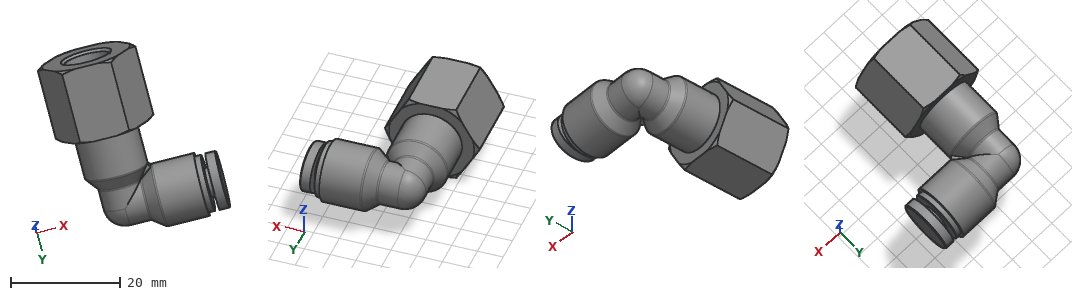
import cadquery as cq
import math


overall_length = 34.45
overall_width = 27.73

stem_radius = 8.13 / 2
barrel_radius = 11.9 / 2
cone_start = 4.0
cone_end = 6.48
barrel_end = 14.5
cone_blend_radius = 0.5
web_thickness = 2.05
web_edge_near = 5.75
web_edge_far = 6.4

across_flats = 16.0
across_corners = across_flats / math.cos(math.radians(30))
front_end = overall_length - barrel_radius
hex_length = 14.02
hex_back = front_end - hex_length
face_circle_radius = 8.27
hex_bevel_angle = math.radians(25)
bore_diameter = 8.5
bore_mouth_diameter = 9.5
bore_depth = 10.35
passage_diameter = 3.0

ring_diameter = 10.6
ring_end = 15.7
ring_chamfer = 0.1
neck_diameter = 5.5
flange_start = 16.5
flange_end = overall_width - across_corners / 2
flange_major = 10.82
flange_minor = 8.6
flange_chamfer = 0.17


def disc(radius, start, end):
    """Cylinder on the X axis between two X positions."""
    return cq.Workplane("YZ").workplane(offset=start).circle(radius).extrude(end - start)


def make_arm(length):
    """Round arm along +X: stem, conical shoulder with blended edges, barrel."""
    arm = (
        cq.Workplane("XY")
        .polyline([
            (0, 0),
            (0, stem_radius),
            (cone_start, stem_radius),
            (cone_end, barrel_radius),
            (length, barrel_radius),
            (length, 0),
        ])
        .close()
        .revolve(360, (0, 0, 0), (1, 0, 0))
    )
    return arm.edges("%CIRCLE").edges("<<X[1] or <<X[2]").fillet(cone_blend_radius)


def make_elbow():
    """Two mitred arms with a ball corner and a flat web in the inner corner."""
    side_arm = make_arm(barrel_end)
    front_arm = make_arm(hex_back).rotate((0, 0, 0), (0, 0, 1), -90)
    corner = cq.Workplane("XY").sphere(stem_radius)
    web = (
        cq.Workplane("XY")
        .polyline([
            (0, 0),
            (web_edge_far, -web_edge_near),
            (web_edge_near, -web_edge_far),
        ])
        .close()
        .extrude(web_thickness / 2, both=True)
    )
    return side_arm.union(front_arm).union(corner).union(web)


def make_hex_socket():
    """Hexagonal socket with bevelled corners and a stepped bore along Y."""
    hexagon = cq.Workplane("XY").polygon(6, across_corners).extrude(hex_length)
    corner_radius = across_corners / 2
    bevel_height = (corner_radius - face_circle_radius) * math.tan(hex_bevel_angle)
    bevel_envelope = (
        cq.Workplane("XZ")
        .polyline([
            (0, 0),
            (face_circle_radius, 0),
            (corner_radius, bevel_height),
            (corner_radius, hex_length - bevel_height),
            (face_circle_radius, hex_length),
            (0, hex_length),
        ])
        .close()
        .revolve(360, (0, 0, 0), (0, 1, 0))
    )
    mouth_chamfer = (bore_mouth_diameter - bore_diameter) / 2
    bore = (
        cq.Workplane("XZ")
        .polyline([
            (0, 0),
            (bore_mouth_diameter / 2, 0),
            (bore_diameter / 2, mouth_chamfer),
            (bore_diameter / 2, bore_depth),
            (passage_diameter / 2, bore_depth),
            (passage_diameter / 2, hex_length),
            (0, hex_length),
        ])
        .close()
        .revolve(360, (0, 0, 0), (0, 1, 0))
    )
    socket = hexagon.intersect(bevel_envelope).cut(bore)
    return socket.rotate((0, 0, 0), (1, 0, 0), -90).translate((0, -front_end, 0))


def make_ring():
    """Retaining ring on the end of the side barrel, bored for the sleeve neck."""
    ring = disc(ring_diameter / 2, barrel_end, ring_end).faces(">X").chamfer(ring_chamfer)
    return ring.cut(disc(neck_diameter / 2, barrel_end, ring_end))


def make_sleeve():
    """Release sleeve: round neck through the ring and an oval flange."""
    neck = disc(neck_diameter / 2, barrel_end, flange_start)
    flange = (
        cq.Workplane("YZ")
        .workplane(offset=flange_start)
        .ellipse(flange_major / 2, flange_minor / 2)
        .extrude(flange_end - flange_start)
        .faces(">X")
        .chamfer(flange_chamfer)
    )
    return neck.union(flange)


elbow = make_elbow()
hex_socket = make_hex_socket()
ring = make_ring()
sleeve = make_sleeve()

result = cq.Compound.makeCompound([elbow.val(), hex_socket.val(), ring.val(), sleeve.val()])